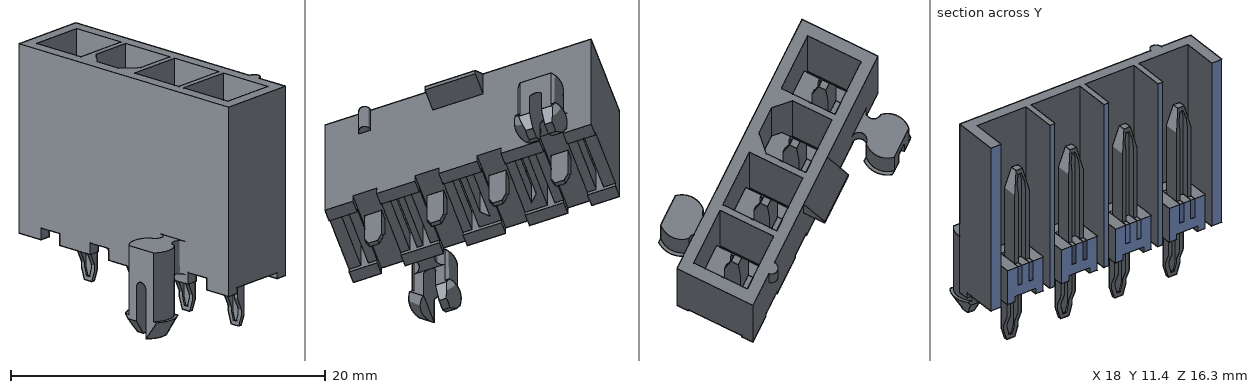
import cadquery as cq

circuits = 4
pitch = 4.2
circuit_xs = [(i - (circuits - 1) / 2) * pitch for i in range(circuits)]

housing_length = 18.0
housing_width = 5.4
housing_height = 12.8
wall = 0.8
back_y = housing_width / 2

cavity_length = 3.8
cavity_width = housing_width - 2 * wall
floor_top = 3.0
key_circuit = 1
key_chamfer = 1.0
floor_length = 2.8

recess_height = 0.4
slot_length = 1.6
slot_height = 0.8

latch_length = 3.4
latch_reach = 1.5
latch_height = 3.0
latch_lip = 0.5

rib_radius = 0.4

peg_radius = 1.45
peg_half_width = 1.0
peg_top = 2.85
peg_span = 11.4
peg_y = -peg_span / 2 + peg_half_width
front_peg_x = pitch
rear_peg_x = circuit_xs[0]

neck_bottom = 0.6
neck_radius = (-back_y - peg_y - peg_half_width) / 2
neck_edge = (peg_radius**2 - peg_half_width**2) ** 0.5

barb_top = -1.8
barb_bottom = -3.1
barb_reach = 1.68
barb_edge = (barb_reach**2 - peg_half_width**2) ** 0.5
barb_tip_reach = 0.92
barb_tip_edge = 0.42
barb_chamfer_height = 1.0
barb_chamfer_depth = 0.65

peg_slot_width = 0.8
peg_slot_top = 0.6

pin_half_width = 0.57
pin_bottom = -3.5
pin_top = 9.8

tail_back = 1.13
tail_front = 0.51
tail_thin_front = 0.87
tail_slope_top = -1.53
tail_slope_bottom = -2.32
tail_slope_fillet = 0.5
tail_taper_height = 0.8
tail_tip_half_width = 0.32

shoulder_front = -0.74
shoulder_bottom = 1.6

blade_front = -0.36
blade_back = 0.76
blade_tip_half_width = 0.25
blade_taper_height = 1.6

groove_half_width = 0.29
groove_tip_half_width = 0.13
groove_depth = 0.49
groove_tip_gap = 0.3
groove_taper_height = 0.6


def box(x_range, y_range, z_range):
    """Box between two limits along each axis."""
    size = [high - low for low, high in (x_range, y_range, z_range)]
    return cq.Workplane("XY").box(*size, centered=False).translate((x_range[0], y_range[0], z_range[0]))


def make_groove(tip_z, toward_tip, open_y, floor_y):
    """Groove cutter: starts inside the shoulder, runs along Z and narrows before tip_z."""
    start_z = shoulder_bottom
    end_z = tip_z - toward_tip * groove_tip_gap
    taper_z = end_z - toward_tip * groove_taper_height
    outline = [
        (-groove_half_width, start_z),
        (-groove_half_width, taper_z),
        (-groove_tip_half_width, end_z),
        (groove_tip_half_width, end_z),
        (groove_half_width, taper_z),
        (groove_half_width, start_z),
    ]
    return cq.Workplane("XZ", origin=(0, open_y, 0)).polyline(outline).close().extrude(open_y - floor_y)


def make_tail():
    """Solder tail: rails that slope down to a thin, tapered tip."""
    side = [
        (tail_back, pin_bottom),
        (tail_thin_front, pin_bottom),
        (tail_thin_front, tail_slope_bottom),
        (tail_front, tail_slope_top),
        (tail_front, shoulder_bottom),
        (tail_back, shoulder_bottom),
    ]
    tail = (
        cq.Workplane("YZ", origin=(-pin_half_width, 0, 0))
        .polyline(side)
        .close()
        .extrude(2 * pin_half_width)
    )
    for y, z in [(tail_front, tail_slope_top), (tail_thin_front, tail_slope_bottom)]:
        slope_edge = cq.selectors.NearestToPointSelector((0, y, z))
        tail = tail.edges("|X").edges(slope_edge).fillet(tail_slope_fillet)
    face = [
        (-pin_half_width, shoulder_bottom),
        (-pin_half_width, pin_bottom + tail_taper_height),
        (-tail_tip_half_width, pin_bottom),
        (tail_tip_half_width, pin_bottom),
        (pin_half_width, pin_bottom + tail_taper_height),
        (pin_half_width, shoulder_bottom),
    ]
    outline = cq.Workplane("XZ", origin=(0, tail_back, 0)).polyline(face).close()
    tail = tail.intersect(outline.extrude(tail_back - tail_front))
    return tail.cut(make_groove(pin_bottom, -1, tail_front, tail_front + groove_depth))


def make_blade():
    """Mating blade on the floor of its cavity, with a pyramid tip."""
    x_range = (-pin_half_width, pin_half_width)
    taper_start = pin_top - blade_taper_height
    middle_y = (blade_front + blade_back) / 2
    tip = (
        cq.Workplane("XY", origin=(0, middle_y, taper_start))
        .rect(2 * pin_half_width, blade_back - blade_front)
        .workplane(offset=blade_taper_height)
        .rect(2 * blade_tip_half_width, 2 * blade_tip_half_width)
        .loft(ruled=True)
    )
    shoulder = box(x_range, (shoulder_front, tail_back), (shoulder_bottom, floor_top))
    blade = box(x_range, (blade_front, blade_back), (floor_top, taper_start))
    blade = shoulder.union(blade).union(tip)
    return blade.cut(make_groove(pin_top, 1, shoulder_front, blade_front + groove_depth))


def make_pin(x):
    """Contact pin: blade above the floor, shoulder in the floor, tail below it."""
    return make_blade().union(make_tail()).translate((x, 0, 0))


def barb_outline(plane, edge, reach):
    """Barb section: two straight sides joined by two arcs that bulge out to the reach."""
    return (
        plane.moveTo(-edge, -peg_half_width)
        .lineTo(edge, -peg_half_width)
        .threePointArc((reach, 0), (edge, peg_half_width))
        .lineTo(-edge, peg_half_width)
        .threePointArc((-reach, 0), (-edge, -peg_half_width))
        .close()
    )


def make_barb():
    """Barb under a peg, flat toward +Y and -Y and narrowing downward."""
    upper = barb_outline(cq.Workplane("XY", origin=(0, 0, barb_top)), barb_edge, barb_reach)
    lower_plane = upper.workplane(offset=barb_bottom - barb_top)
    return barb_outline(lower_plane, barb_tip_edge, barb_tip_reach).loft(ruled=True)


def make_barb_chamfers(x_range):
    """Wedges that bevel both flat sides of the barb's bottom over a stretch of X."""
    corner = [
        (-peg_half_width, barb_bottom),
        (-peg_half_width, barb_bottom + barb_chamfer_height),
        (-peg_half_width + barb_chamfer_depth, barb_bottom),
    ]
    wedge = (
        cq.Workplane("YZ", origin=(x_range[0], 0, 0))
        .polyline(corner)
        .close()
        .extrude(x_range[1] - x_range[0])
    )
    return wedge.union(wedge.mirror("XZ"))


def make_peg(chamfered_x_range):
    """Split board peg with a barbed end and a neck to the housing wall at its +Y side."""
    shank = cq.Workplane("XY", origin=(0, 0, barb_top)).circle(peg_radius).extrude(peg_top - barb_top)
    flats = box(
        (-peg_radius, peg_radius),
        (-peg_half_width, peg_half_width),
        (barb_top, peg_top),
    )
    neck_start = peg_half_width
    neck_middle = neck_start + neck_radius
    neck_end = neck_middle + neck_radius
    neck_waist = neck_edge - neck_radius
    neck = (
        cq.Workplane("XY", origin=(0, 0, neck_bottom))
        .moveTo(-neck_edge, neck_start)
        .lineTo(neck_edge, neck_start)
        .threePointArc((neck_waist, neck_middle), (neck_edge, neck_end))
        .lineTo(-neck_edge, neck_end)
        .threePointArc((-neck_waist, neck_middle), (-neck_edge, neck_start))
        .close()
        .extrude(peg_top - neck_bottom)
    )
    slot_radius = peg_slot_width / 2
    slot_shoulder = peg_slot_top - slot_radius
    slot = (
        cq.Workplane("XZ", origin=(0, peg_half_width, 0))
        .moveTo(-slot_radius, barb_bottom)
        .lineTo(-slot_radius, slot_shoulder)
        .threePointArc((0, peg_slot_top), (slot_radius, slot_shoulder))
        .lineTo(slot_radius, barb_bottom)
        .close()
        .extrude(2 * peg_half_width)
    )
    barb = make_barb().cut(make_barb_chamfers(chamfered_x_range))
    return shank.intersect(flats).union(barb).cut(slot).union(neck)


def make_cavity(x, keyed):
    """Contact cavity above the floor, with gaps beside the floor that open downward."""
    cavity = (
        cq.Workplane("XY", origin=(x, 0, 0))
        .rect(cavity_length, cavity_width)
        .extrude(housing_height)
    )
    if keyed:
        cavity = cavity.edges("|Z and <Y").chamfer(key_chamfer)
    floor = box(
        (x - floor_length / 2, x + floor_length / 2),
        (-cavity_width / 2, cavity_width / 2),
        (0, floor_top),
    )
    return cavity.cut(floor)


def make_latch():
    """Latch ramp at the top of the rear wall."""
    ramp = [
        (back_y, housing_height),
        (back_y, housing_height - latch_height),
        (back_y + latch_reach, housing_height - latch_height),
        (back_y + latch_reach, housing_height - latch_height + latch_lip),
    ]
    return (
        cq.Workplane("YZ", origin=(-latch_length / 2, 0, 0))
        .polyline(ramp)
        .close()
        .extrude(latch_length)
    )


def make_housing(pins):
    """Housing with cavities, underside recess and slots, latch, marker rib and two pegs."""
    housing = (
        cq.Workplane("XY")
        .rect(housing_length, housing_width)
        .extrude(housing_height)
    )
    recess = cq.Workplane("XY").rect(housing_length, cavity_width).extrude(recess_height)
    housing = housing.cut(recess)
    slot = cq.Workplane("XY").rect(slot_length, housing_width).extrude(slot_height)
    for i, x in enumerate(circuit_xs):
        housing = housing.cut(slot.translate((x, 0, 0)))
        housing = housing.cut(make_cavity(x, i == key_circuit))
    rib = (
        cq.Workplane("XY", origin=(circuit_xs[-1], back_y, housing_height - latch_height))
        .circle(rib_radius)
        .extrude(latch_height)
    )
    housing = housing.union(rib).union(make_latch())

    front_peg = make_peg((-barb_reach, 0))
    rear_peg = make_peg((-barb_reach, barb_reach)).mirror("XZ")
    housing = housing.union(front_peg.translate((front_peg_x, peg_y, 0)))
    housing = housing.union(rear_peg.translate((rear_peg_x, -peg_y, 0)))
    for pin in pins:
        housing = housing.cut(pin)
    return housing


pins = [make_pin(x) for x in circuit_xs]
housing = make_housing(pins)

result = cq.Compound.makeCompound([housing.val(), *[pin.val() for pin in pins]])